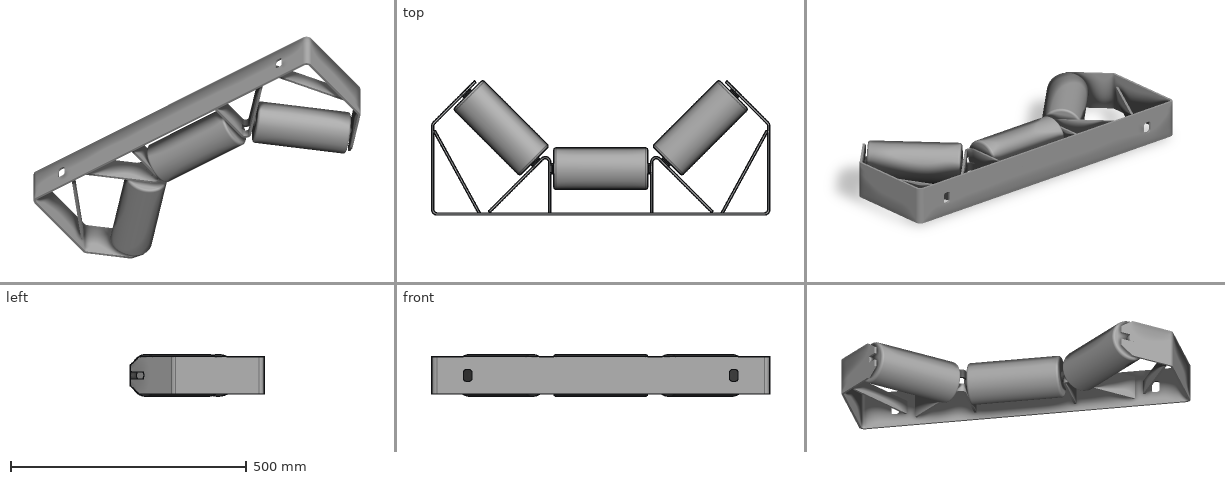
import cadquery as cq
import math

SQRT2 = math.sqrt(2)
HALF_BEND_TAN = math.tan(math.radians(22.5))

plate = 5.0
bend_radius = 12.0

frame_length = 720.0
frame_width = 80.0
half_length = frame_length / 2
shoulder_height = 194.6
flare_tip_height = 286.0
tip_chamfer_along = 28.0
tip_chamfer_across = 18.0
base_hole_length = 18.0
base_hole_height = 25.0
base_hole_corner = 6.0
base_hole_x = 283.0

roller_diameter = 89.0
roller_length = 200.0
roller_fillet = 5.0
axle_diameter = 22.0
axle_flats = 15.0
axle_flat_length = 8.0
roller_space = 212.0
axle_length = roller_space + 2 * plate
centre_roller_y = 99.0
side_roller_x = 211.8
side_roller_y = 185.97
side_roller_angle = 45.0

bracket_width = 50.0
bracket_face_x = roller_space / 2
flare_offset = half_length + shoulder_height
leg_offset = flare_offset - (plate + roller_space) * SQRT2

flare_slot_length = 60.0
bracket_slot_length = 40.0

brace_width = 30.0
brace_wall_y = 176.0
brace_base_x = 261.5
brace_top_y = 180.0

RIGHT = (1, 0)
UP = (0, 1)
SIDE_AXIS = (1 / SQRT2, -1 / SQRT2)
UP_SLOPE = (1 / SQRT2, 1 / SQRT2)
SLOPE_OUT = (-1 / SQRT2, 1 / SQRT2)


def offset_point(point, direction, distance):
    return (point[0] + direction[0] * distance, point[1] + direction[1] * distance)


def mirror_x(body):
    return body.mirror("YZ")


def side_axle_point(distance):
    """Point on the left roller's axis, at a distance from the roller's middle."""
    return offset_point((-side_roller_x, side_roller_y), SIDE_AXIS, distance)


def axle_slot(centre, axis, opening, open_length):
    """Cutter for an open slot whose closed end fits the flatted axle."""
    plane = cq.Plane(
        origin=(centre[0], centre[1], 0),
        xDir=(opening[0], opening[1], 0),
        normal=(axis[0], axis[1], 0),
    )
    depth = 2 * plate
    seat = cq.Workplane(plane).circle(axle_diameter / 2).extrude(depth, both=True)
    flats = cq.Workplane(plane).rect(axle_diameter, axle_flats).extrude(depth, both=True)
    lead = (
        cq.Workplane(plane)
        .center(open_length / 2, 0)
        .rect(open_length, axle_flats)
        .extrude(depth, both=True)
    )
    return seat.intersect(flats).union(lead)


def house_block(inset):
    """Solid house outline, inset evenly, with its two base and two shoulder corners rounded."""
    wall_x = half_length - inset
    eaves_y = shoulder_height - inset * HALF_BEND_TAN
    block = (
        cq.Workplane("XY")
        .polyline([
            (-wall_x, inset),
            (wall_x, inset),
            (wall_x, eaves_y),
            (0, eaves_y + wall_x),
            (-wall_x, eaves_y),
        ])
        .close()
        .extrude(frame_width / 2, both=True)
    )
    return block.edges("|Z and (<X or >X)").fillet(bend_radius - inset)


def flare_trim():
    """Cutter that ends the left flare square to its face and chamfers the tip's two corners."""
    half = frame_width / 2
    tip_half = half - tip_chamfer_across
    past_ridge = -frame_length
    flare_plane = cq.Plane(
        origin=(flare_tip_height - flare_offset, flare_tip_height, 0),
        xDir=(-1, -1, 0),
        normal=(-1, 1, 0),
    )
    return (
        cq.Workplane(flare_plane)
        .polyline([
            (past_ridge, -half),
            (tip_chamfer_along, -half),
            (0, -tip_half),
            (0, tip_half),
            (tip_chamfer_along, half),
            (past_ridge, half),
        ])
        .close()
        .extrude(2 * plate, both=True)
    )


def base_hole():
    """Cutter for a rounded rectangular hole through the base."""
    return (
        cq.Workplane("XY")
        .box(base_hole_length, 3 * plate, base_hole_height)
        .edges("|Y")
        .fillet(base_hole_corner)
    )


def make_frame():
    frame = house_block(0).cut(house_block(plate))
    trim = flare_trim()
    frame = frame.cut(trim).cut(mirror_x(trim))
    flare_seat = side_axle_point(-(roller_space + plate) / 2)
    slot = axle_slot(flare_seat, SIDE_AXIS, UP_SLOPE, flare_slot_length)
    frame = frame.cut(slot).cut(mirror_x(slot))
    for x in (-base_hole_x, base_hole_x):
        frame = frame.cut(base_hole().translate((x, 0, 0)))
    return frame


def make_bracket():
    """Left bracket: one plate bent over between its upright and 45 degree legs."""
    inner_radius = bend_radius - plate
    bend_x = -bracket_face_x - bend_radius
    bend_y = bend_x + leg_offset - bend_radius * SQRT2
    bend_centre = (bend_x, bend_y)
    mid_angle = math.radians(67.5)
    bend_middle = (math.cos(mid_angle), math.sin(mid_angle))
    foot_inner = (plate - (leg_offset - plate * SQRT2), plate)
    foot_outer = offset_point(foot_inner, SLOPE_OUT, plate)
    bracket = (
        cq.Workplane("XY")
        .moveTo(-bracket_face_x, plate)
        .lineTo(-bracket_face_x, bend_y)
        .threePointArc(
            offset_point(bend_centre, bend_middle, bend_radius),
            offset_point(bend_centre, SLOPE_OUT, bend_radius),
        )
        .lineTo(*foot_outer)
        .lineTo(*foot_inner)
        .lineTo(*offset_point(bend_centre, SLOPE_OUT, inner_radius))
        .threePointArc(
            offset_point(bend_centre, bend_middle, inner_radius),
            offset_point(bend_centre, RIGHT, inner_radius),
        )
        .lineTo(bend_x + inner_radius, plate)
        .close()
        .extrude(bracket_width / 2, both=True)
    )
    upright_seat = (-bracket_face_x - plate / 2, centre_roller_y)
    slope_seat = side_axle_point((roller_space + plate) / 2)
    upright_slot = axle_slot(upright_seat, RIGHT, UP, bracket_slot_length)
    slope_slot = axle_slot(slope_seat, SIDE_AXIS, UP_SLOPE, bracket_slot_length)
    return bracket.cut(upright_slot).cut(slope_slot)


def make_brace():
    """Left brace: a flat bar from the wall down to the base, with a level top end."""
    wall_x = -half_length + plate
    slope = (brace_wall_y - plate) / (-brace_base_x - wall_x)
    level_thickness = plate / math.sin(math.atan(slope))
    far_base_x = -brace_base_x + level_thickness
    far_top_x = far_base_x - (brace_top_y - plate) / slope
    return (
        cq.Workplane("XY")
        .polyline([
            (wall_x, brace_wall_y),
            (-brace_base_x, plate),
            (far_base_x, plate),
            (far_top_x, brace_top_y),
            (wall_x, brace_top_y),
        ])
        .close()
        .extrude(brace_width / 2, both=True)
    )


def cylinder_on_x(diameter, length):
    return cq.Workplane("YZ").workplane(offset=-length / 2).circle(diameter / 2).extrude(length)


def make_roller():
    """Roller on the X axis: a drum with rounded ends and an axle flatted at both ends."""
    drum = cylinder_on_x(roller_diameter, roller_length).edges().fillet(roller_fillet)
    axle = cylinder_on_x(axle_diameter, axle_length)
    flat_depth = (axle_diameter - axle_flats) / 2
    relief = cq.Workplane("XY").box(axle_flat_length, axle_diameter, flat_depth)
    relief_x = (axle_length - axle_flat_length) / 2
    relief_z = (axle_flats + flat_depth) / 2
    for x in (-relief_x, relief_x):
        for z in (-relief_z, relief_z):
            axle = axle.cut(relief.translate((x, 0, z)))
    return drum.union(axle)


frame = make_frame()

left_bracket = make_bracket()
left_brace = make_brace()
brackets = [left_bracket, mirror_x(left_bracket)]
braces = [left_brace, mirror_x(left_brace)]

rollers = [make_roller().translate((0, centre_roller_y, 0))]
for side in (-1, 1):
    tilted = make_roller().rotate((0, 0, 0), (0, 0, 1), side * side_roller_angle)
    rollers.append(tilted.translate((side * side_roller_x, side_roller_y, 0)))

bodies = [frame] + brackets + braces + rollers
result = cq.Compound.makeCompound([body.val() for body in bodies])